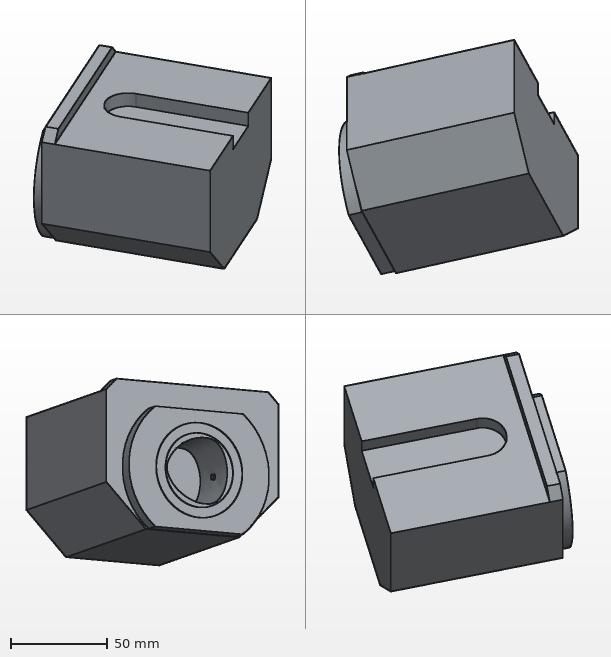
import cadquery as cq
import math

total_length = 100.0
ring_height = 0.4
body_start = 8.0
flange_thickness = 7.0

width = 100.0
axis_to_bottom = 32.0
flange_top = 46.0
flange_corner = 6.0
body_top = flange_top - flange_corner
bottom_chamfer = 23.0

boss_diameter = 81.4
boss_flat_distance = 63.4

ring_diameter = 50.01
mouth_diameter = 39.2
mouth_depth = ring_height

lobe_count = 3
lobe_mean_radius = 17.5
lobe_offset = 1.12
bore_depth = 30.0
taper_per_side = 1 / 40
bore_points = 72

pin_diameter = 3.0
pin_protrusion = 1.0
pin_embedding = 2.0
pin_depth = bore_depth / 2

slot_width = 25.0
slot_length = 74.0
slot_depth = 8.0


def plane_at(x):
    """Plane across the bore axis at x: local x is +Y, local y is +Z, normal is +X."""
    return cq.Workplane("YZ", origin=(x, 0, 0))


def make_body():
    half_width = width / 2
    bottom_half_width = half_width - bottom_chamfer
    chamfer_top = bottom_chamfer - axis_to_bottom
    return (
        plane_at(body_start)
        .moveTo(-half_width, body_top)
        .lineTo(-half_width, chamfer_top)
        .lineTo(-bottom_half_width, -axis_to_bottom)
        .lineTo(bottom_half_width, -axis_to_bottom)
        .lineTo(half_width, chamfer_top)
        .lineTo(half_width, body_top)
        .close()
        .extrude(total_length - body_start)
    )


def make_flange_lip():
    """Raised front lip standing above the body top, with chamfered corners."""
    half_width = width / 2
    top_half_width = half_width - flange_corner
    return (
        plane_at(body_start)
        .moveTo(-half_width, body_top)
        .lineTo(half_width, body_top)
        .lineTo(top_half_width, flange_top)
        .lineTo(-top_half_width, flange_top)
        .close()
        .extrude(flange_thickness)
    )


def make_boss():
    """Round front boss cut flat at the top and bottom."""
    boss_length = body_start - ring_height
    disc = plane_at(ring_height).circle(boss_diameter / 2).extrude(boss_length)
    flats = plane_at(ring_height).rect(boss_diameter, boss_flat_distance).extrude(boss_length)
    return disc.intersect(flats)


def make_ring():
    return plane_at(0).circle(ring_diameter / 2).extrude(body_start)


def lobe_point(angle, mean_radius):
    """Curve point whose tangent lies mean_radius + lobe_offset * cos(lobe_count * angle) from the axis."""
    distance = mean_radius + lobe_offset * math.cos(lobe_count * angle)
    slope = -lobe_count * lobe_offset * math.sin(lobe_count * angle)
    y = distance * math.cos(angle) - slope * math.sin(angle)
    z = distance * math.sin(angle) + slope * math.cos(angle)
    return y, z


def lobe_outline(mean_radius):
    step = 2 * math.pi / bore_points
    return [lobe_point(i * step, mean_radius) for i in range(bore_points)]


def make_bore():
    end_radius = lobe_mean_radius - bore_depth * taper_per_side
    return (
        plane_at(0)
        .spline(lobe_outline(lobe_mean_radius), periodic=True)
        .close()
        .workplane(offset=bore_depth)
        .spline(lobe_outline(end_radius), periodic=True)
        .close()
        .loft(ruled=True)
    )


def make_mouth():
    return plane_at(0).circle(mouth_diameter / 2).extrude(mouth_depth)


def make_pin():
    """Radial pin in the bore wall on the -Y side, opposite a lobe."""
    wall = lobe_mean_radius - lobe_offset - pin_depth * taper_per_side
    return (
        cq.Workplane("XZ", origin=(pin_depth, pin_protrusion - wall, 0))
        .circle(pin_diameter / 2)
        .extrude(pin_protrusion + pin_embedding)
    )


def make_slot():
    """Round-ended slot in the body top, open at the rear."""
    radius = slot_width / 2
    arc_center = total_length - slot_length + radius
    return (
        cq.Workplane("XY", origin=(0, 0, body_top - slot_depth))
        .moveTo(total_length, -radius)
        .lineTo(arc_center, -radius)
        .threePointArc((arc_center - radius, 0), (arc_center, radius))
        .lineTo(total_length, radius)
        .close()
        .extrude(slot_depth)
    )


solid = make_body().union(make_flange_lip()).union(make_boss()).union(make_ring())
result = solid.cut(make_mouth()).cut(make_bore()).cut(make_slot()).union(make_pin())